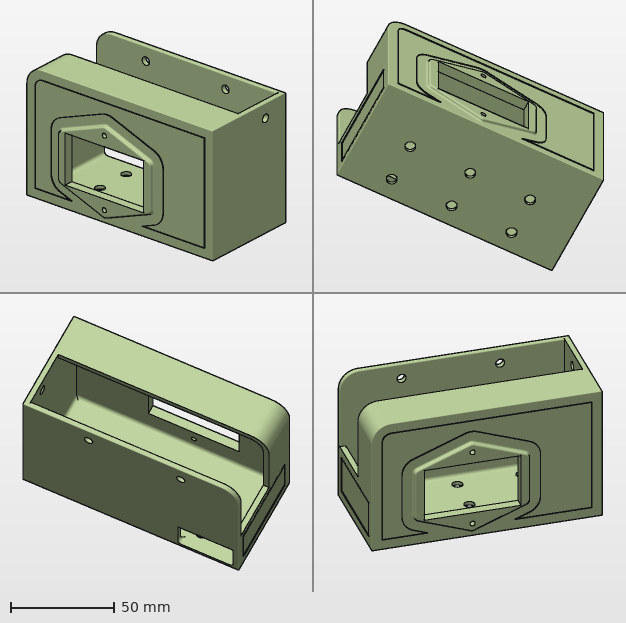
import cadquery as cq

length = 117.0
depth = 56.0
height = 70.0
corner_radius = 10.0
edge_fillet = 0.5
wall = 3.0
floor = 2.0
floor_fillet = 2.0
overshoot = 11.7

deck_depth = 23.0
sill_height = 29.0
rim_fillet = 0.7

notch_end = 33.0
notch_top = 16.8
notch_corner_radius = 1.0

panel_margin = 5.4
panel_depth = 0.5
side_panel_drop = 4.8

bezel_x = 50.5
bezel_z = 28.1
bezel_height = 2.0
bezel_half_width = 29.1
bezel_half_height = 24.7
bezel_shoulder = 13.7
bezel_corner_radius = 2.7
bezel_top_fillet = 0.9
bezel_base_fillet = 1.0
bezel_clearance = 6.0
window_width = 49.0
window_height = 28.0
screw_diameter = 2.6
screw_spacing = 40.0

floor_hole_diameter = 5.3
floor_hole_start = (24.9, 26.0)
floor_hole_pitch = (32.5, 20.0)
floor_hole_columns = 3
floor_hole_rows = 2
wall_hole_diameter = 4.5
wall_hole_z = 62.0
back_hole_start = 31.4
back_hole_count = 2
back_hole_spacing = 50.0
right_hole_y = 40.2


def block(x0, x1, y0, y1, z0, z1):
    """Axis-aligned box given by its limits."""
    return cq.Workplane("XY").box(x1 - x0, y1 - y0, z1 - z0, centered=False).translate((x0, y0, z0))


def make_shell():
    """Hollow box with a large round at its upper left and softened outer edges."""
    outer = block(0, length, 0, depth, 0, height)
    outer = outer.edges("<X and >Z").fillet(corner_radius)
    outer = outer.faces("<Y or >Y or >X or <Z").edges().fillet(edge_fillet)
    return outer.cut(make_cavity())


def make_cavity():
    """Inside space together with the notch, rounded along the floor."""
    room = block(wall, length - wall, wall, depth - wall, floor, height - wall)
    room = room.edges("<X and >Z").fillet(corner_radius - wall)
    notch = block(wall, notch_end, depth / 2, depth + overshoot, floor, notch_top)
    notch = notch.edges("|Y and >Z").fillet(notch_corner_radius)
    return room.union(notch).faces("<Z").edges().fillet(floor_fillet)


def cut_opening(body):
    """Open the top and the left wall, then round the back wall's rim along the gap."""
    back = depth - wall
    gap = block(-overshoot, length - wall, deck_depth, back, sill_height, height + overshoot)
    body = body.cut(gap)
    upright_middle = (0, back, (sill_height + height - corner_radius) / 2)
    upright = body.edges("|Z").edges(cq.selectors.NearestToPointSelector(upright_middle))
    return upright.fillet(rim_fillet)


def bezel_blank(thickness):
    """Hexagonal plate with rounded corners, rising from the front wall toward -Y."""
    corners = [
        (0, bezel_half_height),
        (bezel_half_width, bezel_shoulder),
        (bezel_half_width, -bezel_shoulder),
        (0, -bezel_half_height),
        (-bezel_half_width, -bezel_shoulder),
        (-bezel_half_width, bezel_shoulder),
    ]
    plate = cq.Workplane("XZ", origin=(bezel_x, 0, bezel_z)).polyline(corners).close().extrude(thickness)
    return plate.edges("|Y").fillet(bezel_corner_radius)


def add_bezel(body):
    """Join the bezel, rounded at its rim and blended into the wall at its foot."""
    body = body.union(bezel_blank(bezel_height).faces("<Y").edges().fillet(bezel_top_fillet))
    reach = bezel_half_width + edge_fillet
    foot = cq.selectors.BoxSelector(
        (bezel_x - reach, -edge_fillet, bezel_z - reach),
        (bezel_x + reach, edge_fillet / 2, bezel_z + reach),
    )
    return body.edges(foot).fillet(bezel_base_fillet)


def front_panel():
    """Shallow recess that keeps clear of the bezel."""
    right_side = length - panel_margin
    top_side = height - panel_margin
    panel = block(panel_margin, right_side, 0, panel_depth, panel_margin, top_side)
    panel = panel.edges("<X and >Z").fillet(corner_radius - panel_margin)
    border = bezel_blank(-panel_depth).faces("<Y").wires().toPending().offset2D(bezel_clearance)
    return panel.cut(border.extrude(-panel_depth))


def side_panel():
    """Shallow recess in the left wall under the sill."""
    panel_top = sill_height - side_panel_drop
    return block(0, panel_depth, panel_margin, depth - panel_margin, panel_margin, panel_top)


def window():
    """Front window with a screw hole above and below it."""
    face = cq.Workplane("XZ", origin=(bezel_x, wall, bezel_z))
    through = wall + bezel_height
    opening = face.rect(window_width, window_height).extrude(through)
    screw_offset = screw_spacing / 2
    screws = face.pushPoints([(0, -screw_offset), (0, screw_offset)])
    return opening.union(screws.circle(screw_diameter / 2).extrude(through))


def floor_holes():
    """Grid of round holes through the floor."""
    start_x, start_y = floor_hole_start
    pitch_x, pitch_y = floor_hole_pitch
    centres = [
        (start_x + column * pitch_x, start_y + row * pitch_y)
        for column in range(floor_hole_columns)
        for row in range(floor_hole_rows)
    ]
    return cq.Workplane("XY").pushPoints(centres).circle(floor_hole_diameter / 2).extrude(floor)


def wall_holes():
    """Holes in the back wall near its top and one in the right wall."""
    back_centres = [
        (back_hole_start + index * back_hole_spacing, wall_hole_z)
        for index in range(back_hole_count)
    ]
    back = cq.Workplane("XZ", origin=(0, depth, 0)).pushPoints(back_centres)
    right = cq.Workplane("YZ", origin=(length - wall, 0, 0)).center(right_hole_y, wall_hole_z)
    radius = wall_hole_diameter / 2
    return back.circle(radius).extrude(wall).union(right.circle(radius).extrude(wall))


result = add_bezel(cut_opening(make_shell()))
for cutter in (front_panel(), side_panel(), window(), floor_holes(), wall_holes()):
    result = result.cut(cutter)